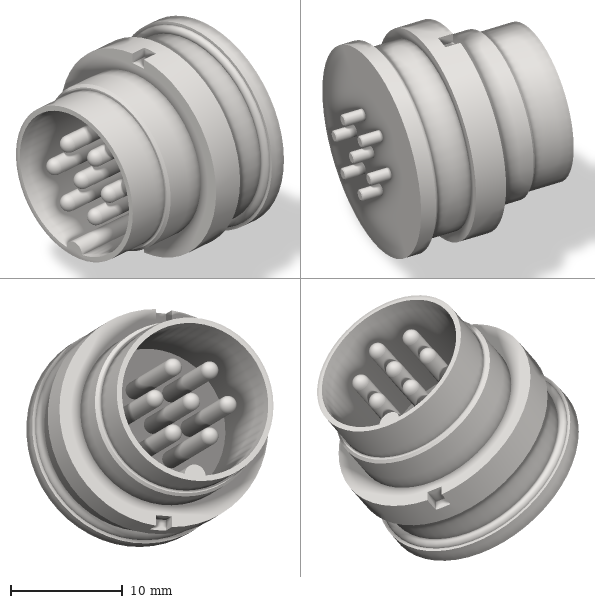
import cadquery as cq
import math


flange_thickness = 1.5
collar_rear = 5.5
collar_front = collar_rear + 3.0
barrel_front = 12.5
nose_front = 16.5

flange_radius = 10.0
seal_radius = 9.7
seal_rounding = 0.5
body_radius = 9.0
collar_radius = flange_radius
barrel_radius = 8.0
nose_radius = 7.5
bore_radius = 7.0
barrel_chamfer = 0.25

cavity_floor = collar_rear
key_radius = 1.0

notch_width = 1.5
notch_length = 1.5

ring_pin_count = 6
pin_circle_radius = 3.5
pin_radius = 0.8
tip_setback = 0.2
tail_radius = 0.55
tail_projection = 2.05
tail_chamfer = 0.1

ring_angles = [2 * math.pi * i / ring_pin_count for i in range(ring_pin_count)]
pin_centers = [(0, 0)] + [
    (pin_circle_radius * math.cos(angle), pin_circle_radius * math.sin(angle))
    for angle in ring_angles
]


def cylinder(radius, rear, front, x=0, z=0):
    """Cylinder along Y between two distances forward of the rear face."""
    return cq.Workplane("XZ", origin=(x, -rear, z)).circle(radius).extrude(front - rear)


def revolve_about_y(profile):
    return profile.close().revolve(360, (0, 0, 0), (0, 1, 0))


def make_shell():
    """Stepped outer form with the rounded seal bead in front of the flange."""
    bead_center = seal_radius - seal_rounding
    bead_front = flange_thickness + seal_rounding
    bead_end = flange_thickness + math.sqrt(seal_rounding**2 - (bead_center - body_radius) ** 2)
    profile = (
        cq.Workplane("XY")
        .lineTo(flange_radius, 0)
        .lineTo(flange_radius, -flange_thickness)
        .lineTo(seal_radius, -flange_thickness)
        .threePointArc((bead_center, -bead_front), (body_radius, -bead_end))
        .lineTo(body_radius, -collar_rear)
        .lineTo(collar_radius, -collar_rear)
        .lineTo(collar_radius, -collar_front)
        .lineTo(barrel_radius, -collar_front)
        .lineTo(barrel_radius, -barrel_front + barrel_chamfer)
        .lineTo(barrel_radius - barrel_chamfer, -barrel_front)
        .lineTo(nose_radius, -barrel_front)
        .lineTo(nose_radius, -nose_front)
        .lineTo(0, -nose_front)
    )
    return revolve_about_y(profile)


def make_cavity():
    """Mating bore, less the rounded key that runs along its lowest line."""
    bore = cylinder(bore_radius, cavity_floor, nose_front)
    key = cylinder(key_radius, cavity_floor, nose_front, z=-bore_radius)
    return bore.cut(key)


def make_notches():
    """Notches at the top and bottom of the collar."""
    notch_height = collar_radius - body_radius
    notch_z = (collar_radius + body_radius) / 2
    return (
        cq.Workplane("XZ", origin=(0, notch_length - collar_front, 0))
        .pushPoints([(0, notch_z), (0, -notch_z)])
        .rect(notch_width, notch_height)
        .extrude(notch_length)
    )


def make_housing():
    housing = make_shell().cut(make_cavity()).cut(make_notches())
    for x, z in pin_centers:
        housing = housing.cut(cylinder(tail_radius, 0, cavity_floor, x, z))
    return housing


def make_pin(x, z):
    """Pin with a domed tip, a shoulder on the cavity floor and a thin tail."""
    tip = nose_front - tip_setback
    dome_center = tip - pin_radius
    dome_offset = pin_radius * math.sqrt(0.5)
    profile = (
        cq.Workplane("XY")
        .moveTo(0, tail_projection)
        .lineTo(tail_radius - tail_chamfer, tail_projection)
        .lineTo(tail_radius, tail_projection - tail_chamfer)
        .lineTo(tail_radius, -cavity_floor)
        .lineTo(pin_radius, -cavity_floor)
        .lineTo(pin_radius, -dome_center)
        .threePointArc((dome_offset, -dome_center - dome_offset), (0, -tip))
    )
    return revolve_about_y(profile).translate((x, 0, z))


housing = make_housing()
pins = [make_pin(x, z) for x, z in pin_centers]

result = cq.Compound.makeCompound([housing.val(), *[pin.val() for pin in pins]])